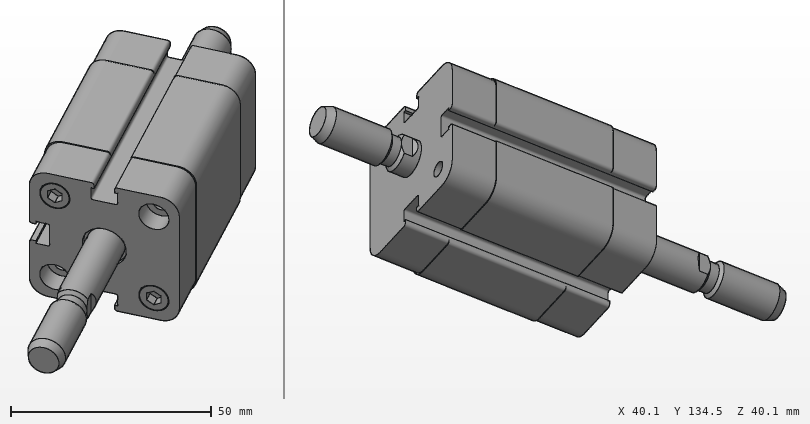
import cadquery as cq
import math

ROD_LENGTH = 134.5
ROD_END_Y = ROD_LENGTH / 2
BODY_BACK_Y = 40.0
BODY_LENGTH = 59.7
BODY_FRONT_Y = BODY_BACK_Y - BODY_LENGTH
CAP_LENGTH = 12.8

BARREL_WIDTH = 40.1
CAP_WIDTH = 39.5
CORNER_RADIUS = 5.0

SLOT_MOUTH_WIDTH = 5.4
SLOT_INNER_WIDTH = 7.0
SLOT_FLOOR = 14.4
SLOT_LIP = 18.0
SLOT_FLOOR_FILLET = 0.5
SLOT_MOUTH_FILLET = 0.8
SLOT_ANGLES = (0, 90, 180)

CORNER_OFFSET = 13.0
HOLE_DIAMETER = 4.2
COUNTERBORE_DIAMETER = 8.0
COUNTERBORE_DEPTH = 5.6
SCREW_HEAD_DIAMETER = 7.5
SOCKET_ACROSS_FLATS = 3.8
SOCKET_DEPTH = 2.7
HOLE_SPOTS = [(-CORNER_OFFSET, -CORNER_OFFSET), (CORNER_OFFSET, CORNER_OFFSET)]
SCREW_SPOTS = [(-CORNER_OFFSET, CORNER_OFFSET), (CORNER_OFFSET, -CORNER_OFFSET)]

ROD_BORE_DIAMETER = 11.5
ROD_BORE_DEPTH = 1.3

ROD_RADIUS = 10.0 / 2
TIP_RADIUS = 8.1 / 2
NECK_RADIUS = 8.0 / 2
TIP_CHAMFER_LENGTH = 2.4
THREAD_LENGTH = 19.5
NECK_LENGTH = 2.5
NECK_TAPER_LENGTH = 0.8
THREAD_END_Y = ROD_END_Y - THREAD_LENGTH
SHOULDER_Y = THREAD_END_Y - NECK_LENGTH

FLAT_ACROSS = 2 * NECK_RADIUS
FLAT_LENGTH = 3.2


def front_plane(y):
    """Sketch plane at the given Y, with X right, Z up and its normal toward -Y."""
    return cq.Workplane("XZ", origin=(0, y, 0))


def rounded_block(width, front_y, length):
    """Square block with rounded long edges, running from front_y toward +Y."""
    block = front_plane(front_y).rect(width, width).extrude(-length)
    return block.edges("|Y").fillet(CORNER_RADIUS)


def slot_cutter(width):
    """T-slot in the top side of a block of the given width, with a flared round mouth."""
    inner_half = SLOT_INNER_WIDTH / 2
    mouth_half = SLOT_MOUTH_WIDTH / 2
    flare_half = mouth_half + SLOT_MOUTH_FILLET
    top = width / 2
    flare_start = top - SLOT_MOUTH_FILLET
    channel = (
        front_plane(BODY_FRONT_Y)
        .center(0, (SLOT_FLOOR + SLOT_LIP) / 2)
        .rect(2 * inner_half, SLOT_LIP - SLOT_FLOOR)
        .extrude(-BODY_LENGTH)
        .edges("|Y and <Z")
        .fillet(SLOT_FLOOR_FILLET)
    )
    mouth = (
        front_plane(BODY_FRONT_Y)
        .moveTo(-mouth_half, SLOT_FLOOR + SLOT_FLOOR_FILLET)
        .lineTo(-mouth_half, flare_start)
        .radiusArc((-flare_half, top), -SLOT_MOUTH_FILLET)
        .lineTo(flare_half, top)
        .radiusArc((mouth_half, flare_start), -SLOT_MOUTH_FILLET)
        .lineTo(mouth_half, SLOT_FLOOR + SLOT_FLOOR_FILLET)
        .close()
        .extrude(-BODY_LENGTH)
    )
    return channel.union(mouth)


def slotted_block(width, front_y, length):
    """Rounded block with a T-slot in its top, left and bottom sides."""
    block = rounded_block(width, front_y, length)
    cutter = slot_cutter(width)
    for angle in SLOT_ANGLES:
        block = block.cut(cutter.rotate((0, 0, 0), (0, 1, 0), -angle))
    return block


def make_body():
    """Barrel between two slightly narrower end caps."""
    barrel_length = BODY_LENGTH - 2 * CAP_LENGTH
    barrel_front_y = BODY_FRONT_Y + CAP_LENGTH
    front_cap = slotted_block(CAP_WIDTH, BODY_FRONT_Y, CAP_LENGTH)
    barrel = slotted_block(BARREL_WIDTH, barrel_front_y, barrel_length)
    back_cap = slotted_block(CAP_WIDTH, BODY_BACK_Y - CAP_LENGTH, CAP_LENGTH)
    return front_cap.union(barrel).union(back_cap)


def front_pocket(spots, diameter, depth):
    """Cylinders reaching from the front face into the body at the given (X, Z) spots."""
    return front_plane(BODY_FRONT_Y).pushPoints(spots).circle(diameter / 2).extrude(-depth)


def add_corner_details(body):
    """Four counterbores: two with through holes, two filled by socket-head screws."""
    body = body.cut(front_pocket(HOLE_SPOTS + SCREW_SPOTS, COUNTERBORE_DIAMETER, COUNTERBORE_DEPTH))
    body = body.cut(front_pocket(HOLE_SPOTS, HOLE_DIAMETER, BODY_LENGTH))
    body = body.union(front_pocket(SCREW_SPOTS, SCREW_HEAD_DIAMETER, COUNTERBORE_DEPTH))
    socket_across_corners = SOCKET_ACROSS_FLATS / math.cos(math.radians(30))
    for x, z in SCREW_SPOTS:
        socket = (
            front_plane(BODY_FRONT_Y)
            .center(x, z)
            .transformed(rotate=(0, 0, 90))
            .polygon(6, socket_across_corners)
            .extrude(-SOCKET_DEPTH)
        )
        body = body.cut(socket)
    return body


def flat_cutter(shoulder_y):
    """Cutter for one +X wrench flat on the +Y end, running out at 45 degrees into the rod."""
    half = FLAT_ACROSS / 2
    runout = ROD_RADIUS - half
    flat_end_y = shoulder_y - FLAT_LENGTH
    return (
        cq.Workplane("XY", origin=(0, 0, -ROD_RADIUS))
        .moveTo(half, shoulder_y)
        .lineTo(half, flat_end_y)
        .lineTo(half + runout, flat_end_y - runout)
        .lineTo(half + runout, shoulder_y)
        .close()
        .extrude(2 * ROD_RADIUS)
    )


def make_half_rod():
    """The +Y half of the rod: shank, wrench flats, tapered neck and chamfered thread length."""
    half_rod = (
        cq.Workplane("XY")
        .lineTo(ROD_RADIUS, 0)
        .lineTo(ROD_RADIUS, SHOULDER_Y - NECK_TAPER_LENGTH)
        .lineTo(NECK_RADIUS, SHOULDER_Y)
        .lineTo(NECK_RADIUS, THREAD_END_Y)
        .lineTo(ROD_RADIUS, THREAD_END_Y + NECK_TAPER_LENGTH)
        .lineTo(ROD_RADIUS, ROD_END_Y - TIP_CHAMFER_LENGTH)
        .lineTo(TIP_RADIUS, ROD_END_Y)
        .lineTo(0, ROD_END_Y)
        .close()
        .revolve(360, (0, 0, 0), (0, 1, 0))
    )
    flat = flat_cutter(SHOULDER_Y)
    return half_rod.cut(flat).cut(flat.mirror("YZ"))


body = add_corner_details(make_body())
body = body.cut(front_pocket([(0, 0)], ROD_BORE_DIAMETER, ROD_BORE_DEPTH))

half_rod = make_half_rod()
rod = half_rod.union(half_rod.mirror("XZ"))

result = body.union(rod)